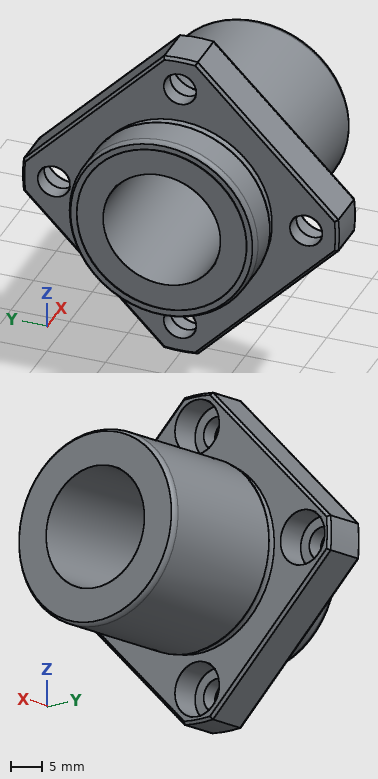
import cadquery as cq
import math

body_length = 42.0
body_radius = 32.0 / 2
bore_diameter = 20.0
end_round_length = 1.0
end_round_drop = 0.5
end_radius = body_radius - end_round_drop

flange_start = 8.1
flange_thickness = 8.0
flange_end = flange_start + flange_thickness
flange_diameter = 53.95
flange_square = 42.0
flange_chamfer = 0.5

groove_width = 1.7
groove_depth = 0.45
groove_bottom_gap = 0.65
groove_half_chord = groove_width - groove_bottom_gap
groove_arc_radius = (groove_half_chord**2 + groove_depth**2) / (2 * groove_depth)
groove_bottom = body_radius - groove_depth
groove_rise = groove_arc_radius - math.sqrt(groove_arc_radius**2 - groove_bottom_gap**2)
groove_at_flange = groove_bottom + groove_rise

hole_count = 4
hole_circle_radius = 43.0 / 2
hole_diameter = 5.5
counterbore_diameter = 9.0
counterbore_depth = 5.15

seal_diameter = 29.0
seal_recess = 0.1


def make_body_section(flange_face, body_end):
    """Solid of revolution from one flange face out to the rounded body end on that side."""
    outward = math.copysign(1, body_end - flange_face)
    return (
        cq.Workplane("XY")
        .moveTo(flange_face, 0)
        .lineTo(flange_face, groove_at_flange)
        .threePointArc(
            (flange_face + outward * groove_bottom_gap, groove_bottom),
            (flange_face + outward * groove_width, body_radius),
        )
        .lineTo(body_end - outward * end_round_length, body_radius)
        .tangentArcPoint((body_end, end_radius), relative=False)
        .lineTo(body_end, 0)
        .close()
        .revolve(360, (0, 0, 0), (1, 0, 0))
    )


def cylinder_x(start, length, diameter):
    """Cylinder on the X axis, running in +X from start."""
    return cq.Workplane("YZ").workplane(offset=start).circle(diameter / 2).extrude(length)


def make_flange():
    """Square plate on its corner, trimmed to a disc and chamfered around both faces."""
    square = (
        cq.Workplane("YZ")
        .workplane(offset=flange_start)
        .transformed(rotate=(0, 0, 45))
        .rect(flange_square, flange_square)
        .extrude(flange_thickness)
    )
    disc = cylinder_x(flange_start, flange_thickness, flange_diameter)
    return square.intersect(disc).faces("<X or >X").chamfer(flange_chamfer)


def corner_cylinders(start, length, diameter):
    """One cylinder along X at each flange corner, running in +X from start."""
    return (
        cq.Workplane("YZ")
        .workplane(offset=start)
        .polarArray(hole_circle_radius, 0, 360, hole_count)
        .circle(diameter / 2)
        .extrude(length)
    )


screw_holes = corner_cylinders(flange_start, flange_thickness, hole_diameter)
counterbores = corner_cylinders(
    flange_end - counterbore_depth, counterbore_depth, counterbore_diameter
)
flange = make_flange().cut(screw_holes).cut(counterbores)

front_section = make_body_section(flange_start, 0)
back_section = make_body_section(flange_end, body_length)
bore = cylinder_x(0, body_length, bore_diameter)
seal_seat = cylinder_x(0, seal_recess, seal_diameter)

result = flange.union(front_section).union(back_section).cut(bore).cut(seal_seat)